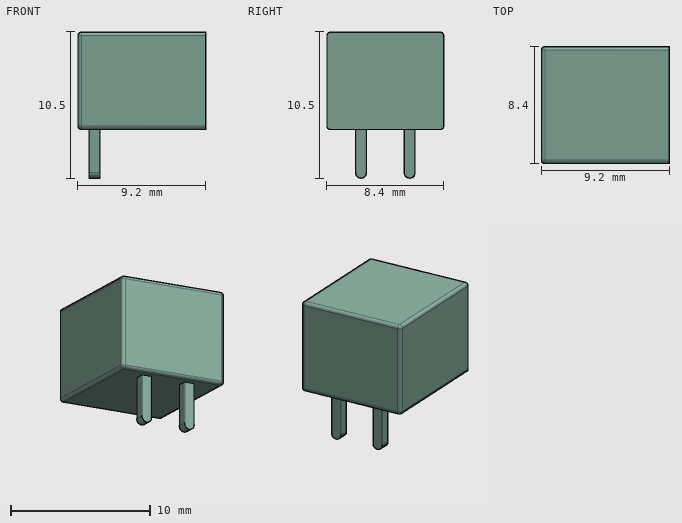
import cadquery as cq

total_height = 10.5
housing_length = 9.2
housing_width = 8.4
housing_height = 7.0
housing_edge_radius = 0.25

pin_size = 0.8
pin_spacing = 3.5
pin_inset = 1.2
pin_edge_radius = 0.04
pin_length = total_height - housing_height
tip_radius = pin_size / 2
shank_length = pin_length - tip_radius


def make_housing():
    """Block with its -X face at x = 0 and its underside at z = 0."""
    block = cq.Workplane("XY").box(
        housing_length, housing_width, housing_height, centered=(False, True, False)
    )
    return block.edges("|X or <X").fillet(housing_edge_radius)


def make_pin(y):
    """Square shank with eased corners and a half-round tip whose axis runs along X."""
    shank = (
        cq.Workplane("XY")
        .center(pin_inset, y)
        .rect(pin_size, pin_size)
        .extrude(-shank_length)
        .edges("|Z")
        .fillet(pin_edge_radius)
    )
    tip = (
        cq.Workplane("YZ", origin=(pin_inset - pin_size / 2, y, -shank_length))
        .moveTo(-tip_radius, 0)
        .threePointArc((0, -tip_radius), (tip_radius, 0))
        .close()
        .extrude(pin_size)
    )
    return shank.union(tip)


result = make_housing()
for side in (-1, 1):
    result = result.union(make_pin(side * pin_spacing / 2))